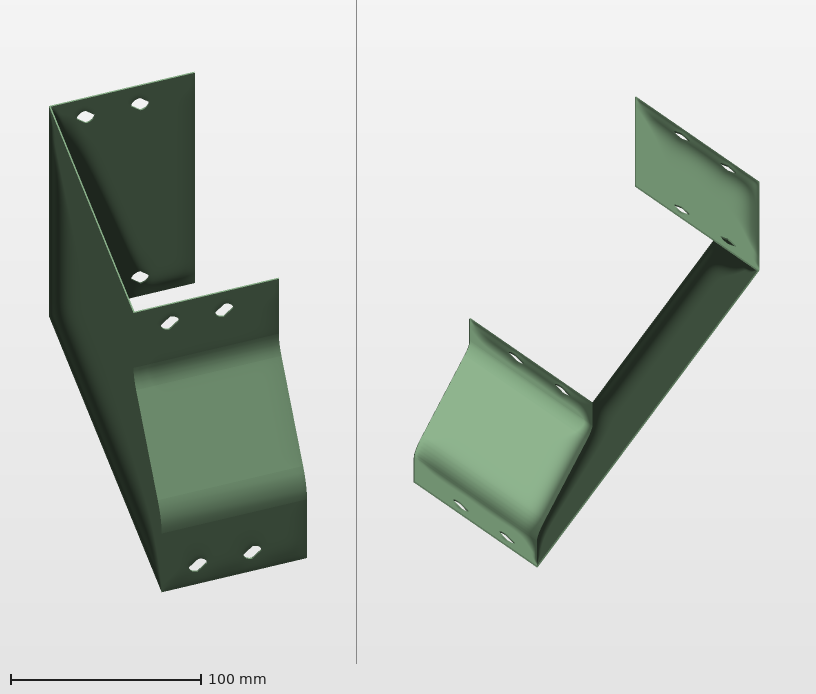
import cadquery as cq

length = 200.0
depth = 80.0
height = 170.0
sheet = 0.8

upper_length = 150.0
step_top = 118.5
step_bottom = 58.5
inside_bend_radius = 20.0
outside_bend_radius = 30.0

hole_flat_width = 7.0
hole_diameter = 10.0
hole_edge_margin = 15.0
hole_front_distance = 20.0
hole_spacing = 30.0
hole_angle = 45.0
hole_rows = (hole_edge_margin, height - hole_edge_margin)
hole_columns = (hole_front_distance, hole_front_distance + hole_spacing)


def make_stepped_block():
    """Solid block with the outer outline of the cover, rounded at both bends."""
    outline = [
        (0, 0),
        (length, 0),
        (length, step_bottom),
        (upper_length, step_top),
        (upper_length, height),
        (0, height),
    ]
    block = cq.Workplane("XZ").polyline(outline).close().extrude(-depth)
    lower_bend = cq.selectors.NearestToPointSelector((length, depth / 2, step_bottom))
    upper_bend = cq.selectors.NearestToPointSelector((upper_length, depth / 2, step_top))
    block = block.edges("|Y").edges(lower_bend).fillet(outside_bend_radius)
    return block.edges("|Y").edges(upper_bend).fillet(inside_bend_radius)


def make_cover():
    """Hollow the block, leaving the top, bottom and back open."""
    return make_stepped_block().faces("<Z or >Z or >Y").shell(-sheet)


def make_holes(start_x, end_x, angle):
    """Cutters for the four holes of one side wall: discs trimmed by two parallel flats."""
    centres = [(y, z) for y in hole_columns for z in hole_rows]
    hole = (
        cq.Sketch()
        .circle(hole_diameter / 2)
        .reset()
        .rect(hole_diameter, hole_flat_width, mode="i", angle=angle)
    )
    return (
        cq.Workplane("YZ", origin=(start_x, 0, 0))
        .pushPoints(centres)
        .placeSketch(hole)
        .extrude(end_x - start_x)
    )


middle = length / 2
left_holes = make_holes(0, middle, -hole_angle)
right_holes = make_holes(middle, length, hole_angle)
result = make_cover().cut(left_holes).cut(right_holes)